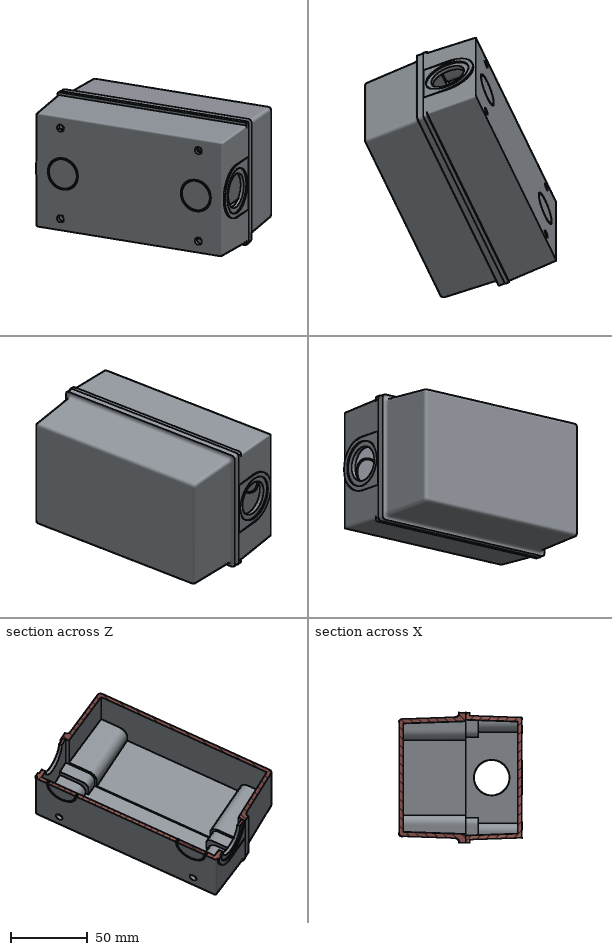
import cadquery as cq

length = 137.0
height = 85.1
base_depth = 36.9
lid_depth = 43.6
wall = 3.0
draft = 2.0

base_height = 81.2
base_flange_depth = 2.7
base_round = 1.4

lid_flange_depth = 4.4
lid_length = 132.1
lid_height = 79.3
lid_round = 2.3

lid_post_x = 42.2
lid_post_z = 24.4
lid_post_round = 6.3
post_step = 1.8
head_depth = 8.2
foot_x = 45.9
foot_z = 29.7
foot_round = 6.0

entry_y = -17.0
entry_radius = 11.5
entry_recess_radius = 15.1
entry_recess_depth = 1.0
pad_radius = 18.2
pad_top_y = -0.5

mount_x = 49.9
mount_z = 31.4
mount_radius = 2.5
knockout_x = 48.1
ring_radius = 11.0
disc_radius = 10.0

AWAY_BASE = (0, -1, 0)
AWAY_LID = (0, 1, 0)
seam_tolerance = 0.07
CORNERS = [(sx, sz) for sx in (-1, 1) for sz in (-1, 1)]


def section_plane(y, normal):
    return cq.Workplane(cq.Plane(origin=(0, y, 0), xDir=(1, 0, 0), normal=normal))


def drafted_block(size_x, size_z, depth, y, normal):
    """Block that starts at y and narrows by the draft angle along the normal."""
    return section_plane(y, normal).rect(size_x, size_z).extrude(depth, taper=draft)


def floor_cylinder(x, z, radius):
    """Cylinder through the base floor only."""
    return section_plane(-base_depth, AWAY_LID).center(x, -z).circle(radius).extrude(wall)


def corner_post(sx, sz, inner_x, inner_z, corner_round, depth):
    """Post that fills a box corner, with its edge towards the middle of the box rounded.

    It runs from the parting plane, along -Y for a positive depth and +Y for a negative one.
    """
    size_x = length / 2 - inner_x
    size_z = height / 2 - inner_z
    center_x = sx * (inner_x + size_x / 2)
    center_z = sz * (inner_z + size_z / 2)
    plane = cq.Workplane("XZ", origin=(center_x, 0, center_z))
    post = plane.rect(size_x, size_z).extrude(depth)
    inner_edge = cq.selectors.NearestToPointSelector((sx * inner_x, -depth / 2, sz * inner_z))
    return post.edges("|Y").edges(inner_edge).fillet(corner_round)


def base_outside():
    body = drafted_block(length, base_height, base_depth, 0, AWAY_BASE)
    long_edges = body.edges("not #Y").vals()
    rounded_rims = body.faces("<Y").edges(">Z or >X").vals()
    body = body.newObject(long_edges + rounded_rims).fillet(base_round)
    flange = drafted_block(length, height, base_flange_depth, 0, AWAY_BASE)
    flange = flange.edges("not #Y").fillet(base_round)
    return body.union(flange)


def entry_pad(side):
    """Raised flat pad, round towards the floor, with its face at the end of the part."""
    face_plane = cq.Workplane("YZ", origin=(side * length / 2, 0, 0))
    return (
        face_plane.moveTo(pad_top_y, -pad_radius)
        .lineTo(entry_y, -pad_radius)
        .threePointArc((entry_y - pad_radius, 0), (entry_y, pad_radius))
        .lineTo(pad_top_y, pad_radius)
        .close()
        .extrude(-side * wall)
    )


def entry_cylinder(side, radius, depth):
    face_plane = cq.Workplane("YZ", origin=(side * length / 2, 0, 0))
    return face_plane.center(entry_y, 0).circle(radius).extrude(-side * depth)


def base_post(sx, sz):
    head_x = lid_post_x + post_step
    head_z = lid_post_z + post_step
    head = corner_post(sx, sz, head_x, head_z, lid_post_round - post_step, head_depth)
    foot = corner_post(sx, sz, foot_x, foot_z, foot_round, base_depth)
    return head.union(foot)


def make_base():
    body = base_outside()
    for side in (-1, 1):
        body = body.union(entry_pad(side))
    cavity = drafted_block(
        length - 2 * wall, base_height - 2 * wall, base_depth - wall, 0, AWAY_BASE
    )
    for sx, sz in CORNERS:
        cavity = cavity.cut(base_post(sx, sz))
    body = body.cut(cavity)
    for side in (-1, 1):
        body = body.cut(entry_cylinder(side, entry_recess_radius, entry_recess_depth))
        body = body.cut(entry_cylinder(side, entry_radius, 2 * wall))
        body = body.cut(floor_cylinder(side * knockout_x, 0, ring_radius))
    for sx, sz in CORNERS:
        body = body.cut(floor_cylinder(sx * mount_x, sz * mount_z, mount_radius))
    return body


def lid_outside():
    wall_depth = lid_depth - lid_flange_depth
    body = drafted_block(lid_length, lid_height, wall_depth, lid_flange_depth, AWAY_LID)
    body = body.edges("not #Y").fillet(lid_round).faces(">Y").edges().fillet(lid_round)
    flange = section_plane(0, AWAY_LID).rect(length, height).extrude(lid_flange_depth)
    flange = flange.edges("|Y").fillet(lid_round)
    wall_foot = cq.selectors.BoxSelector(
        (-lid_length / 2, lid_flange_depth - seam_tolerance, -lid_height / 2),
        (lid_length / 2, lid_flange_depth + seam_tolerance, lid_height / 2),
    )
    return flange.union(body).edges(wall_foot).fillet(lid_round)


def make_lid():
    cavity = drafted_block(lid_length - 2 * wall, lid_height - 2 * wall, lid_depth - wall, 0, AWAY_LID)
    for sx, sz in CORNERS:
        post = corner_post(sx, sz, lid_post_x, lid_post_z, lid_post_round, -lid_depth)
        cavity = cavity.cut(post)
    return lid_outside().cut(cavity)


def make_knockout_ring(x):
    return floor_cylinder(x, 0, ring_radius).cut(floor_cylinder(x, 0, disc_radius))


def make_knockout_disc(x):
    return floor_cylinder(x, 0, disc_radius)


base = make_base()
lid = make_lid()
knockout_rings = [make_knockout_ring(side * knockout_x) for side in (-1, 1)]
knockout_discs = [make_knockout_disc(side * knockout_x) for side in (-1, 1)]

bodies = [base, lid, *knockout_rings, *knockout_discs]
result = cq.Compound.makeCompound([body.val() for body in bodies])